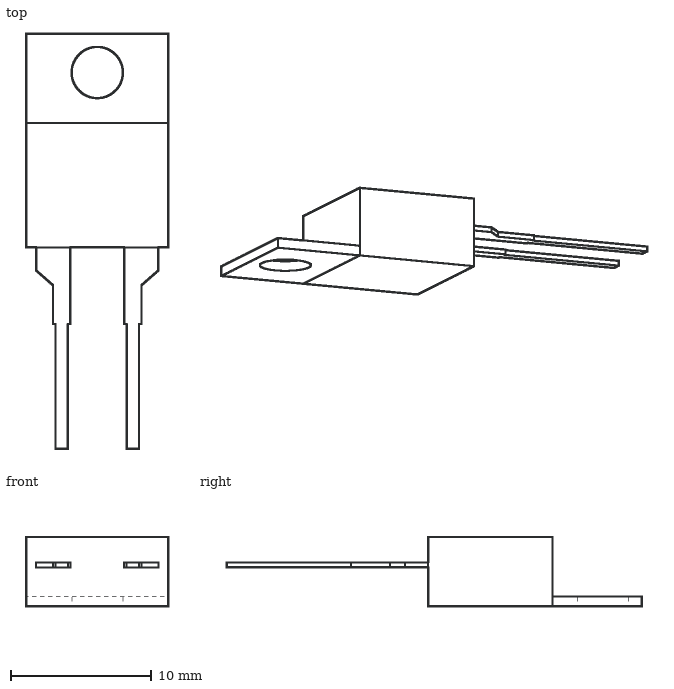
import cadquery as cq

total_length = 29.6
width = 10.15

housing_length = 8.88
housing_height = 4.95

tab_length = 6.35
tab_thickness = 0.7
hole_diameter = 3.65
hole_to_tab_end = 2.78

lead_length = total_length - tab_length - housing_length
lead_thickness = 0.35
lead_underside = 2.78
lead_center = 2.55
shank_width = 1.25
tip_width = 0.9
root_outer_edge = 4.35
root_length = 1.65
taper_end = 2.7
shank_length = 5.47


def make_housing():
    return cq.Workplane("XY").box(
        width, housing_length, housing_height, centered=(True, False, False)
    ).translate((0, -housing_length, 0))


def make_tab():
    plate = cq.Workplane("XY").box(
        width, tab_length, tab_thickness, centered=(True, False, False)
    )
    hole = (
        cq.Workplane("XY")
        .center(0, tab_length - hole_to_tab_end)
        .circle(hole_diameter / 2)
        .extrude(tab_thickness)
    )
    return plate.cut(hole)


def make_lead(side):
    """Lead on the +X side (side = 1) or its mirror image on the -X side (side = -1)."""
    shank_inner = lead_center - shank_width / 2
    shank_outer = lead_center + shank_width / 2
    tip_inner = lead_center - tip_width / 2
    tip_outer = lead_center + tip_width / 2
    outline = [
        (shank_inner, 0),
        (root_outer_edge, 0),
        (root_outer_edge, root_length),
        (shank_outer, taper_end),
        (shank_outer, shank_length),
        (tip_outer, shank_length),
        (tip_outer, lead_length),
        (tip_inner, lead_length),
        (tip_inner, shank_length),
        (shank_inner, shank_length),
    ]
    points = [(side * across, -housing_length - along) for across, along in outline]
    return (
        cq.Workplane("XY", origin=(0, 0, lead_underside))
        .polyline(points)
        .close()
        .extrude(lead_thickness)
    )


housing = make_housing()
tab = make_tab()
leads = [make_lead(side) for side in (-1, 1)]

result = cq.Compound.makeCompound(
    [housing.val(), tab.val(), *[lead.val() for lead in leads]]
)